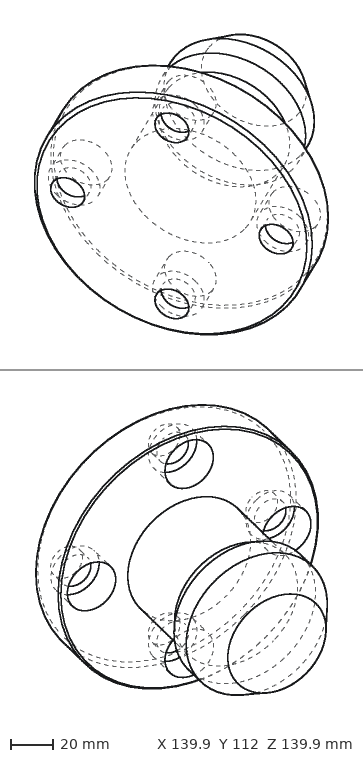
import cadquery as cq
import math

flange_diameter = 139.9
flange_thickness = 25.0
front_chamfer = 2.0
back_chamfer = 1.0

neck_diameter = 66.0
head_diameter = 76.0
overall_length = 112.0
nose_length = 20.0
head_band_length = 12.0
bevel_angle = math.radians(30)

hole_count = 4
hole_diameter = 17.0
bolt_circle_diameter = 104.9
counterbore_diameter = 26.0
counterbore_depth = 16.5

flange_radius = flange_diameter / 2
neck_radius = neck_diameter / 2
head_radius = head_diameter / 2
nose_start = overall_length - nose_length
band_start = nose_start - head_band_length
neck_end = band_start - (head_radius - neck_radius) / math.tan(bevel_angle)
tip_radius = head_radius - nose_length * math.tan(bevel_angle)


def make_body():
    """Revolve the half profile (radius, axial position) about the Y axis."""
    profile = [
        (0, 0),
        (flange_radius - front_chamfer, 0),
        (flange_radius, front_chamfer),
        (flange_radius, flange_thickness - back_chamfer),
        (flange_radius - back_chamfer, flange_thickness),
        (neck_radius, flange_thickness),
        (neck_radius, neck_end),
        (head_radius, band_start),
        (head_radius, nose_start),
        (tip_radius, overall_length),
        (0, overall_length),
    ]
    return cq.Workplane("XY").polyline(profile).close().revolve(360, (0, 0), (0, 1))


def make_bolt_cylinders(diameter, start, end):
    """Cylinders along +Y, one at each bolt position."""
    return (
        cq.Workplane("XZ", origin=(0, start, 0))
        .polarArray(bolt_circle_diameter / 2, 0, 360, hole_count)
        .circle(diameter / 2)
        .extrude(start - end)
    )


holes = make_bolt_cylinders(hole_diameter, 0, flange_thickness)
counterbores = make_bolt_cylinders(
    counterbore_diameter, flange_thickness - counterbore_depth, flange_thickness
)

result = make_body().cut(holes).cut(counterbores)